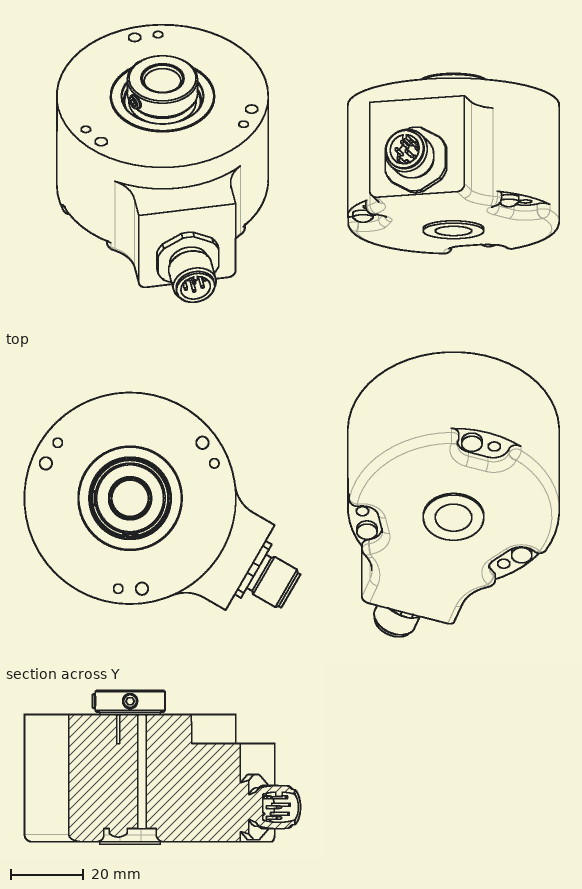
import cadquery as cq
import math

housing_radius = 29.0
housing_height = 35.0
base_fillet = 2.1

block_angle = -30.0
block_half_width = 13.5
block_reach = 38.0
block_height = 27.05
blend_radius = 10.0
end_overrun = 2 * base_fillet

screw_group_angles = (-90.0, 30.0, 150.0)
screw_circle_radius = 25.0
screw_half_spacing = 3.25
through_hole_radius = 1.7
tapped_hole_radius = 1.3
tapped_hole_depth = 8.0

notch_depth = 3.6
notch_radius = 4.5
notch_center_offset = 2.9
notch_fillet = 2.05
screw_head_radius = 2.8
screw_head_length = 1.3
screw_dome_height = 1.3

ring_groove_radius = 14.2
ring_groove_width = 0.2
ring_groove_depth = 0.2
seat_radius = 11.3
seat_floor_radius = 10.4
seat_depth = 2.0
seat_rim_chamfer = 0.15
seat_floor_chamfer = 0.3

shaft_radius = 8.3
shaft_bottom = -0.7
skirt_radius = 9.25
skirt_height = 1.3
bore_radius = 5.0
collar_radius = 9.6
collar_height = 6.0
collar_gap = 0.6
collar_chamfer = 0.45
bore_taper_radius = 5.5
bore_taper_depth = 1.0
bore_rim_radius = 5.9
bore_rim_depth = 0.15

set_screw_positions = ((180.0, 30.0), (270.0, 0.0))
set_screw_radius = 2.05
set_screw_reach = 10.4
set_screw_chamfer_length = 0.3
set_screw_chamfer_width = 0.5
set_screw_root = 6.5
set_screw_socket_width = 2.0
set_screw_socket_depth = 0.9
set_screw_cone_depth = 0.6

plug_height = 9.55
nut_width = 17.0
nut_corner_radius = 9.0
nut_thickness = 2.0
nut_turn = 30.0
neck_radius = 5.3
neck_end = 3.6
thread_radius = 6.0
thread_chamfer = thread_radius - neck_radius
thread_end = 12.05
plug_length = 12.9
socket_radius = 4.1
socket_depth = 7.6
key_width = 1.0
key_tip_radius = 2.9
key_root_radius = 5.0
pin_radius = 0.42
pin_circle_radius = 2.95
pin_count = 7
pin_tip_depth = 2.05

collar_bottom = housing_height + collar_gap
collar_top = collar_bottom + collar_height


def cylinder(radius, bottom, top):
    return cq.Workplane("XY").workplane(offset=bottom).circle(radius).extrude(top - bottom)


def spin(solid, angle):
    return solid.rotate((0, 0, 0), (0, 0, 1), angle)


def make_block():
    """Block along +X, blended into the drum by concave arcs; its far end is left overlong."""
    blend_y = block_half_width + blend_radius
    blend_center_distance = housing_radius + blend_radius
    blend_x = math.sqrt(blend_center_distance**2 - blend_y**2)
    touch_ratio = housing_radius / blend_center_distance
    touch_x = blend_x * touch_ratio
    touch_y = blend_y * touch_ratio
    far_x = block_reach + end_overrun
    outline = (
        cq.Workplane("XY")
        .moveTo(0, -touch_y)
        .lineTo(touch_x, -touch_y)
        .radiusArc((blend_x, -block_half_width), blend_radius)
        .lineTo(far_x, -block_half_width)
        .lineTo(far_x, block_half_width)
        .lineTo(blend_x, block_half_width)
        .radiusArc((touch_x, touch_y), blend_radius)
        .lineTo(0, touch_y)
        .close()
    )
    return spin(outline.extrude(block_height), block_angle)


def make_notch():
    """Notch along +X: arcs around the screws, with straight sides running out through the wall."""
    inner_x = screw_circle_radius - notch_radius
    side_y = notch_center_offset + notch_radius
    mouth_x = housing_radius + notch_radius
    outline = (
        cq.Workplane("XY")
        .moveTo(inner_x, -notch_center_offset)
        .radiusArc((screw_circle_radius, -side_y), -notch_radius)
        .lineTo(mouth_x, -side_y)
        .lineTo(mouth_x, side_y)
        .lineTo(screw_circle_radius, side_y)
        .radiusArc((inner_x, notch_center_offset), -notch_radius)
        .close()
    )
    return outline.extrude(notch_depth)


def cut_notch(body, angle):
    """Cut one notch and round its open edge: along the base and up the outer wall at both ends."""
    body = spin(body, -angle).cut(make_notch())
    inner_base_edge = cq.selectors.NearestToPointSelector((screw_circle_radius - notch_radius, 0, 0))
    body = body.edges(inner_base_edge).fillet(notch_fillet)
    return spin(body, angle)


def make_screw_head():
    """Dome-headed screw hanging from the notch ceiling, centred on the Z axis."""
    rim_z = notch_depth - screw_head_length
    dome_sphere_radius = (screw_head_radius**2 + screw_dome_height**2) / (2 * screw_dome_height)
    dome_middle_x = screw_head_radius / 2
    dome_middle_drop = dome_sphere_radius - math.sqrt(dome_sphere_radius**2 - dome_middle_x**2)
    dome_middle_z = rim_z - screw_dome_height + dome_middle_drop
    profile = (
        cq.Workplane("XZ")
        .moveTo(0, notch_depth)
        .lineTo(screw_head_radius, notch_depth)
        .lineTo(screw_head_radius, rim_z)
        .threePointArc(
            (dome_middle_x, dome_middle_z),
            (0, rim_z - screw_dome_height),
        )
        .close()
    )
    return profile.revolve(360, (0, 0, 0), (0, 1, 0))


def make_housing():
    body = cylinder(housing_radius, 0, housing_height).union(make_block())
    body = body.faces("<Z").edges().fillet(base_fillet)
    for angle in screw_group_angles:
        body = cut_notch(body, angle)
    trim = cq.Workplane("XY").box(
        2 * end_overrun, 4 * block_half_width, 2 * housing_height
    ).translate((block_reach + end_overrun, 0, housing_height / 2))
    body = body.cut(spin(trim, block_angle))

    through_hole = cylinder(through_hole_radius, 0, housing_height)
    tapped_hole = cylinder(tapped_hole_radius, housing_height - tapped_hole_depth, housing_height)
    screw_x = math.sqrt(screw_circle_radius**2 - screw_half_spacing**2)
    for angle in screw_group_angles:
        body = body.cut(spin(through_hole.translate((screw_x, screw_half_spacing, 0)), angle))
        body = body.cut(spin(tapped_hole.translate((screw_x, -screw_half_spacing, 0)), angle))
        body = body.union(spin(make_screw_head().translate((screw_x, -screw_half_spacing, 0)), angle))
    return body


def cut_bearing_seat(body):
    groove = (
        cq.Workplane("XY")
        .workplane(offset=housing_height - ring_groove_depth)
        .circle(ring_groove_radius + ring_groove_width / 2)
        .circle(ring_groove_radius - ring_groove_width / 2)
        .extrude(ring_groove_depth)
    )
    floor_z = housing_height - seat_depth
    seat = (
        cq.Workplane("XZ")
        .moveTo(0, housing_height)
        .lineTo(seat_radius, housing_height)
        .lineTo(seat_radius - seat_rim_chamfer, housing_height - seat_rim_chamfer)
        .lineTo(seat_floor_radius + seat_floor_chamfer, floor_z + seat_floor_chamfer)
        .lineTo(seat_floor_radius, floor_z)
        .lineTo(0, floor_z)
        .close()
        .revolve(360, (0, 0, 0), (0, 1, 0))
    )
    return body.cut(groove).cut(seat)


def make_shaft():
    """Solid shaft with a flared skirt standing on the floor of the bearing seat."""
    floor_z = housing_height - seat_depth
    profile = (
        cq.Workplane("XZ")
        .moveTo(0, shaft_bottom)
        .lineTo(shaft_radius, shaft_bottom)
        .lineTo(shaft_radius, floor_z)
        .lineTo(skirt_radius, floor_z)
        .lineTo(shaft_radius, floor_z + skirt_height)
        .lineTo(shaft_radius, collar_bottom + collar_chamfer)
        .lineTo(0, collar_bottom + collar_chamfer)
        .close()
    )
    return profile.revolve(360, (0, 0, 0), (0, 1, 0))


def make_set_screw(socket_turn):
    """Set screw along +X, standing proud of the collar, with a cone-bottomed hexagon socket."""
    screw = cq.Workplane("YZ").workplane(offset=set_screw_root).circle(set_screw_radius)
    screw = screw.extrude(set_screw_reach - set_screw_root)
    screw = screw.faces(">X").chamfer(set_screw_chamfer_width, set_screw_chamfer_length)
    socket_floor = set_screw_reach - set_screw_socket_depth
    socket = (
        cq.Workplane("YZ")
        .workplane(offset=socket_floor)
        .polygon(6, set_screw_socket_width * 2 / math.sqrt(3))
        .extrude(set_screw_socket_depth)
        .rotate((0, 0, 0), (1, 0, 0), socket_turn)
    )
    cone = cq.Solid.makeCone(
        set_screw_socket_width / 2,
        0,
        set_screw_cone_depth,
        pnt=cq.Vector(socket_floor, 0, 0),
        dir=cq.Vector(-1, 0, 0),
    )
    return screw.cut(socket).cut(cq.Workplane(cone))


def make_collar():
    collar = cylinder(collar_radius, collar_bottom, collar_top)
    collar = collar.edges().chamfer(collar_chamfer)
    screw_z = (collar_bottom + collar_top) / 2
    for angle, socket_turn in set_screw_positions:
        collar = collar.union(spin(make_set_screw(socket_turn).translate((0, 0, screw_z)), angle))
    return collar


def cut_bore(body):
    """Through bore with a tapered, bevelled mouth in the top of the collar."""
    bore = (
        cq.Workplane("XZ")
        .moveTo(0, shaft_bottom)
        .lineTo(bore_radius, shaft_bottom)
        .lineTo(bore_radius, collar_top - bore_taper_depth)
        .lineTo(bore_taper_radius, collar_top - bore_rim_depth)
        .lineTo(bore_rim_radius, collar_top)
        .lineTo(0, collar_top)
        .close()
        .revolve(360, (0, 0, 0), (0, 1, 0))
    )
    return body.cut(bore)


def make_plug():
    """Plug connector pointing along +Z from the block face at Z = 0, with its key on +Y."""
    nut = cq.Workplane("XY").polygon(6, nut_width * 2 / math.sqrt(3)).extrude(nut_thickness)
    nut = spin(nut, nut_turn).intersect(cylinder(nut_corner_radius, 0, nut_thickness))
    neck = cylinder(neck_radius, 0, plug_length)
    thread = cylinder(thread_radius, neck_end, thread_end).edges().chamfer(thread_chamfer)
    plug = nut.union(neck).union(thread)

    socket_floor = plug_length - socket_depth
    plug = plug.cut(cylinder(socket_radius, socket_floor, plug_length))
    key_height = key_root_radius - key_tip_radius
    key = (
        cq.Workplane("XY")
        .workplane(offset=socket_floor)
        .center(0, key_tip_radius + key_height / 2)
        .rect(key_width, key_height)
        .extrude(socket_depth)
    )
    plug = plug.union(key)

    pin = cylinder(pin_radius, socket_floor - pin_radius, plug_length - pin_tip_depth)
    plug = plug.union(pin)
    pin_pitch = 360.0 / pin_count
    for index in range(pin_count):
        angle = 90.0 + (index + 0.5) * pin_pitch
        plug = plug.union(spin(pin.translate((pin_circle_radius, 0, 0)), angle))
    return plug


def place_plug(plug):
    """Turn the plug to point along the block axis with its key upward."""
    plug = plug.rotate((0, 0, 0), (1, 0, 0), 90)
    plug = plug.rotate((0, 0, 0), (0, 0, 1), 90)
    return spin(plug.translate((block_reach, 0, plug_height)), block_angle)


body = cut_bearing_seat(make_housing())
body = body.union(make_shaft())
body = body.union(make_collar())
body = cut_bore(body)
result = body.union(place_plug(make_plug()))